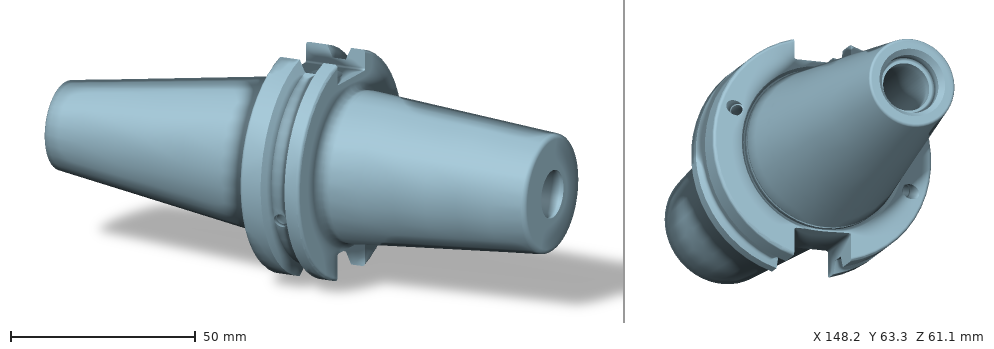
import cadquery as cq
import math


TOTAL_LENGTH = 148.2
TAPER_END_X = 67.9
FLANGE_FRONT_X = 69.2
FLANGE_BACK_X = 87.2
COLLAR_START_X = 89.0
COLLAR_END_X = 90.9

SHANK_TIP_RADIUS = 12.3
TAPER_SLOPE = 7 / 48
TIP_ROUND = 0.7
TAPER_END_RADIUS = SHANK_TIP_RADIUS + TAPER_SLOPE * TAPER_END_X
RELIEF_RADIUS = 43.7 / 2

STEP_X = 68.8
STEP_RADIUS = 22.2
RECESS_DEPTH = 0.9
RECESS_FLOOR_RADIUS = 22.7
RECESS_RADIUS = 23.4

FLANGE_RADIUS = 63.3 / 2
FLANGE_ROUND = 0.9
GROOVE_CENTER_X = 79.3
GROOVE_FLOOR_WIDTH = 4.0
GROOVE_FLOOR_RADIUS = 28.3
GROOVE_FLANK_ANGLE = 26.0

COLLAR_RADIUS = 42.0 / 2
NOSE_ANGLE = 4.5
NOSE_ROUND = 1.3

BORE_DIAMETER = 13.3
PILOT_DIAMETER = 16.3
PILOT_DEPTH = 4.7
MOUTH_DIAMETER = 19.0
MOUTH_DEPTH = 1.6

SLOT_WIDTH = 16.5
SLOT_CORNER_RADIUS = 0.6
TOP_SLOT_FLOOR = 24.8
BOTTOM_SLOT_FLOOR = 22.8
DIMPLE_DIAMETER = 9.5
DIMPLE_POINT_ANGLE = 118.0

COOLANT_DIAMETER = 3.3
COOLANT_TURN = 20.0
FACE_ENTRY_RADIUS = 27.0
FACE_ENTRY_TILT = 40.0
FACE_ENTRY_DIAMETER = 4.0
FACE_ENTRY_DEPTH = 1.5
GROOVE_ENTRY_DIAMETER = 4.2
GROOVE_ENTRY_DEPTH = 0.9


def make_body():
    floor_start = GROOVE_CENTER_X - GROOVE_FLOOR_WIDTH / 2
    floor_end = GROOVE_CENTER_X + GROOVE_FLOOR_WIDTH / 2
    flank_run = (FLANGE_RADIUS - GROOVE_FLOOR_RADIUS) * math.tan(math.radians(GROOVE_FLANK_ANGLE))
    blend = COLLAR_START_X - FLANGE_BACK_X
    blend_top = COLLAR_RADIUS + blend
    nose_radius = COLLAR_RADIUS - (TOTAL_LENGTH - COLLAR_END_X) * math.tan(math.radians(NOSE_ANGLE))
    profile = (
        cq.Workplane("XY")
        .moveTo(0, 0)
        .lineTo(0, SHANK_TIP_RADIUS)
        .lineTo(TAPER_END_X, TAPER_END_RADIUS)
        .lineTo(TAPER_END_X, RELIEF_RADIUS)
        .lineTo(STEP_X, RELIEF_RADIUS)
        .lineTo(STEP_X, STEP_RADIUS)
        .lineTo(FLANGE_FRONT_X + RECESS_DEPTH, STEP_RADIUS)
        .lineTo(FLANGE_FRONT_X + RECESS_DEPTH, RECESS_FLOOR_RADIUS)
        .lineTo(FLANGE_FRONT_X, RECESS_RADIUS)
        .lineTo(FLANGE_FRONT_X, FLANGE_RADIUS - FLANGE_ROUND)
        .radiusArc((FLANGE_FRONT_X + FLANGE_ROUND, FLANGE_RADIUS), FLANGE_ROUND)
        .lineTo(floor_start - flank_run, FLANGE_RADIUS)
        .lineTo(floor_start, GROOVE_FLOOR_RADIUS)
        .lineTo(floor_end, GROOVE_FLOOR_RADIUS)
        .lineTo(floor_end + flank_run, FLANGE_RADIUS)
        .lineTo(FLANGE_BACK_X - FLANGE_ROUND, FLANGE_RADIUS)
        .radiusArc((FLANGE_BACK_X, FLANGE_RADIUS - FLANGE_ROUND), FLANGE_ROUND)
        .lineTo(FLANGE_BACK_X, blend_top)
        .radiusArc((COLLAR_START_X, COLLAR_RADIUS), -blend)
        .lineTo(COLLAR_END_X, COLLAR_RADIUS)
        .lineTo(TOTAL_LENGTH, nose_radius)
        .lineTo(TOTAL_LENGTH, 0)
        .close()
    )
    body = profile.revolve(360, (0, 0, 0), (1, 0, 0))
    body = body.faces("<X").edges().fillet(TIP_ROUND)
    return body.faces(">X").edges().fillet(NOSE_ROUND)


def make_bore():
    profile = (
        cq.Workplane("XY")
        .moveTo(0, 0)
        .lineTo(0, MOUTH_DIAMETER / 2)
        .lineTo(MOUTH_DEPTH, PILOT_DIAMETER / 2)
        .lineTo(PILOT_DEPTH, PILOT_DIAMETER / 2)
        .lineTo(PILOT_DEPTH, BORE_DIAMETER / 2)
        .lineTo(TOTAL_LENGTH, BORE_DIAMETER / 2)
        .lineTo(TOTAL_LENGTH, 0)
        .close()
    )
    return profile.revolve(360, (0, 0, 0), (1, 0, 0))


def make_slot(floor, side):
    """Drive slot across the flange; side is +1 for the top and -1 for the bottom."""
    width_x = FLANGE_BACK_X - FLANGE_FRONT_X
    middle_x = FLANGE_FRONT_X + width_x / 2
    slot = (
        cq.Workplane("XY", origin=(middle_x, 0, side * floor))
        .rect(width_x, SLOT_WIDTH)
        .extrude(side * FLANGE_RADIUS)
    )
    floor_face = "<Z" if side > 0 else ">Z"
    return slot.faces(floor_face).edges("|X").fillet(SLOT_CORNER_RADIUS)


def make_dimple():
    depth = DIMPLE_DIAMETER / 2 / math.tan(math.radians(DIMPLE_POINT_ANGLE / 2))
    cone = cq.Solid.makeCone(
        DIMPLE_DIAMETER / 2,
        0,
        depth,
        cq.Vector(GROOVE_CENTER_X, 0, TOP_SLOT_FLOOR),
        cq.Vector(0, 0, -1),
    )
    return cq.Workplane(cone)


def make_stepped_hole(mouth, direction, length, mouth_diameter, mouth_depth):
    """Coolant bore from the mouth point along a unit direction, with a wider first stretch."""
    overrun = mouth_diameter
    bore = cq.Solid.makeCylinder(COOLANT_DIAMETER / 2, length, mouth, direction)
    entry_start = mouth - direction * overrun
    entry = cq.Solid.makeCylinder(mouth_diameter / 2, mouth_depth + overrun, entry_start, direction)
    return cq.Workplane(bore).union(cq.Workplane(entry))


def make_coolant_holes():
    """Tilted hole from the front flange face and the radial groove hole it meets, along +Y."""
    tilt = math.radians(FACE_ENTRY_TILT)
    tilted_length = (GROOVE_CENTER_X - FLANGE_FRONT_X) / math.cos(tilt)
    meeting_radius = FACE_ENTRY_RADIUS - tilted_length * math.sin(tilt)
    tilted = make_stepped_hole(
        cq.Vector(FLANGE_FRONT_X, FACE_ENTRY_RADIUS, 0),
        cq.Vector(math.cos(tilt), -math.sin(tilt), 0),
        tilted_length,
        FACE_ENTRY_DIAMETER,
        FACE_ENTRY_DEPTH,
    )
    radial = make_stepped_hole(
        cq.Vector(GROOVE_CENTER_X, GROOVE_FLOOR_RADIUS, 0),
        cq.Vector(0, -1, 0),
        GROOVE_FLOOR_RADIUS - meeting_radius,
        GROOVE_ENTRY_DIAMETER,
        GROOVE_ENTRY_DEPTH,
    )
    return tilted.union(radial)


result = make_body().cut(make_bore())
result = result.cut(make_slot(TOP_SLOT_FLOOR, 1)).cut(make_slot(BOTTOM_SLOT_FLOOR, -1)).cut(make_dimple())
coolant_holes = make_coolant_holes()
for turn in (COOLANT_TURN, COOLANT_TURN + 180):
    result = result.cut(coolant_holes.rotate((0, 0, 0), (1, 0, 0), turn))